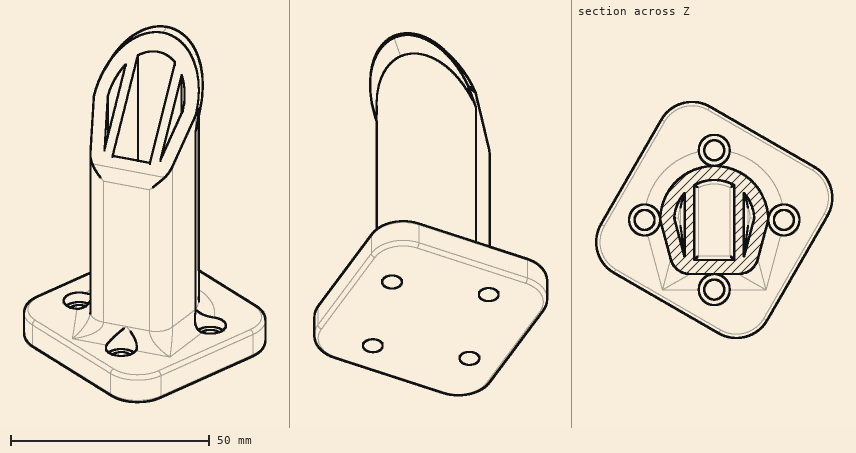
import cadquery as cq
import math

plate_side = 48.3
plate_thickness = 8.0
plate_corner_radius = 9.0
plate_turn = 60
plate_edge_radius = 1.0

hole_count = 4
hole_circle_radius = 17.5
hole_diameter = 5.0
counterbore_diameter = 7.8
counterbore_depth = 2.8

post_radius = 13.6
side_taper = 15
height = 83
base_fillet = 4.0
post_edge_radius = 5.0
cut_height = height - post_radius
cut_normal = cq.Vector(0, -1, 1)
tolerance = 0.1

lip_reach = 3.0
lip_edge = 0.7
lip_drop = 4.65

wall = 3.6
slot_width = 10.0
rib_thickness = 2.5
pocket_floor = wall
pocket_floor_fillet = 1.0


def post_outline():
    front_half_width = post_radius * (1 - math.tan(math.radians(side_taper)))
    return (
        cq.Workplane("XY")
        .moveTo(post_radius, 0)
        .threePointArc((0, post_radius), (-post_radius, 0))
        .lineTo(-front_half_width, -post_radius)
        .lineTo(front_half_width, -post_radius)
        .close()
    )


def make_plate():
    return (
        cq.Workplane("XY")
        .rect(plate_side, plate_side)
        .extrude(plate_thickness)
        .edges("|Z")
        .fillet(plate_corner_radius)
        .faces("<Z or >Z")
        .edges()
        .fillet(plate_edge_radius)
        .rotate((0, 0, 0), (0, 0, 1), plate_turn)
    )


def make_post():
    """Post with a sharp outline, its top sliced by the plane z = y + cut_height."""
    above_cut = (
        cq.Workplane("YZ")
        .polyline(
            [
                (-height, cut_height - height),
                (height, cut_height + height),
                (-height, cut_height + height),
            ]
        )
        .close()
        .extrude(height, both=True)
    )
    return post_outline().extrude(height).cut(above_cut)


def round_body(body):
    """Fillet the foot of the post, then its front corners and the front edge of the cut."""
    reach = post_radius + tolerance
    foot = cq.selectors.BoxSelector(
        (-reach, -reach, plate_thickness - tolerance),
        (reach, reach, plate_thickness + tolerance),
        boundingbox=True,
    )
    body = body.edges(foot).fillet(base_fillet)
    front_face = cq.selectors.BoxSelector(
        (-reach, -reach, plate_thickness + base_fillet - tolerance),
        (reach, -post_radius + tolerance, height),
        boundingbox=True,
    )
    return body.edges(front_face).edges("|Z or >Z").fillet(post_edge_radius)


def make_lip():
    """Lip whose cross-section along Y hangs off every point of the slanted face's round edge."""
    behind_axis = cq.Workplane("XY").box(4 * post_radius, height, height, centered=(True, False, False))
    back_post = make_post().intersect(behind_axis)
    face = back_post.faces(cq.selectors.DirectionMinMaxSelector(cut_normal)).val()
    top_inner = cq.Vector(0, 0, 0)
    top_outer = cq.Vector(0, lip_reach, 0)
    bottom_outer = cq.Vector(0, lip_reach, -lip_edge)
    bottom_inner = cq.Vector(0, 0, -lip_drop)
    lip = cq.Workplane("XY")
    for start, end in [(top_inner, top_outer), (top_outer, bottom_outer), (bottom_outer, bottom_inner)]:
        lip.add(cq.Solid.extrudeLinear(face.translate(start), end - start))
    return lip.combine()


def make_pockets():
    """Centre slot and two side pockets, split by ribs along Y and rounded at the floor."""
    core = (
        post_outline()
        .offset2D(-wall, "intersection")
        .extrude(height)
        .translate((0, 0, pocket_floor))
    )
    for side in (-1, 1):
        rib = cq.Workplane("XY").box(rib_thickness, 4 * post_radius, 4 * height)
        core = core.cut(rib.translate((side * (slot_width + rib_thickness) / 2, 0, 0)))
    return core.faces("<Z").edges().fillet(pocket_floor_fillet)


def make_screw_holes():
    centers = cq.Workplane("XY").polarArray(hole_circle_radius, 0, 360, hole_count)
    holes = centers.circle(hole_diameter / 2).extrude(plate_thickness)
    counterbores = (
        cq.Workplane("XY", origin=(0, 0, plate_thickness - counterbore_depth))
        .polarArray(hole_circle_radius, 0, 360, hole_count)
        .circle(counterbore_diameter / 2)
        .extrude(counterbore_depth + base_fillet)
    )
    return holes.union(counterbores)


body = round_body(make_plate().union(make_post()))
result = body.union(make_lip()).cut(make_pockets()).cut(make_screw_holes())